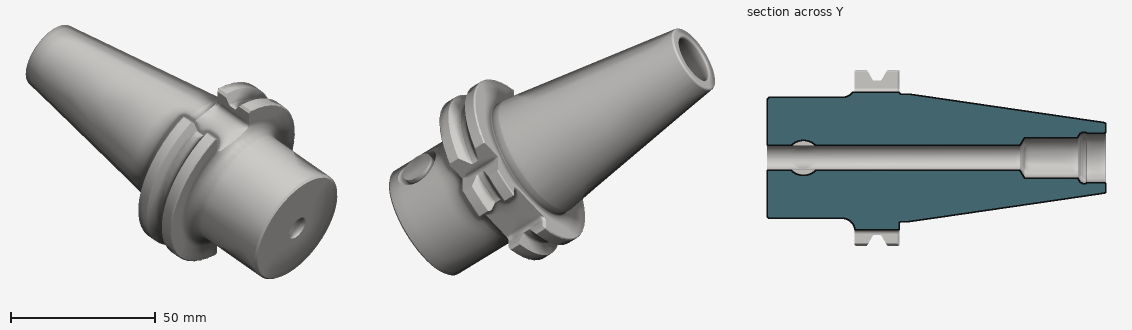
import cadquery as cq
import math

total_length = 117.4

taper_half_slope = 7 / 24 / 2
taper_length = 68.3
tip_radius = 12.2
gauge_radius = tip_radius + taper_length * taper_half_slope
tip_fillet = 0.8

flange_front = 71.5
flange_back = 87.0
flange_radius = 31.74
rim_fillet = 0.5
neck_fillet = 0.5
groove_center = 79.2
groove_floor_radius = 27.9
groove_floor_width = 2.8
groove_wall_angle = 60
groove_fillet = 0.7

nose_radius = 21.0
nose_fillet = 4.2
nose_chamfer = 0.7

thread_radius = 8.5
thread_depth = 8.9
relief_start = 6.7
relief_width = 1.9
relief_height = 0.4
thread_mouth_fillet = 0.8
pilot_radius = 6.9
pilot_depth = 28.2
channel_radius = 4.2
step_angle = 60
drill_point_angle = 59

notch_half_width = 8.1
notch_fillet = 1.4
notch_entry_flare = 0.9
notch_entry_depth = 0.7
notch_top_chamfer = 1.0
notch_end = flange_back + nose_fillet
upper_notch_floor = 22.8
lower_notch_floor = 25.0

orientation_y = 18.3
orientation_z = -18.2

screw_x = 104.7
screw_radius = 6.0
screw_outer_y = nose_radius
screw_inner_y = 6.0
countersink_radius = 7.0


def make_outer_body():
    """Solid of revolution of the whole outside, without the gripper groove."""
    taper_angle = math.atan(taper_half_slope)
    tip_tangent = tip_fillet * math.tan((math.pi / 2 - taper_angle) / 2)
    tip_arc_end_x = tip_tangent * math.cos(taper_angle)
    tip_arc_end_radius = tip_radius + tip_tangent * math.sin(taper_angle)
    return (
        cq.Workplane("XZ")
        .moveTo(0, 0)
        .lineTo(0, tip_radius - tip_tangent)
        .radiusArc((tip_arc_end_x, tip_arc_end_radius), tip_fillet)
        .lineTo(taper_length, gauge_radius)
        .lineTo(flange_front - neck_fillet, gauge_radius)
        .radiusArc((flange_front, gauge_radius + neck_fillet), -neck_fillet)
        .lineTo(flange_front, flange_radius - rim_fillet)
        .radiusArc((flange_front + rim_fillet, flange_radius), rim_fillet)
        .lineTo(flange_back - rim_fillet, flange_radius)
        .radiusArc((flange_back, flange_radius - rim_fillet), rim_fillet)
        .lineTo(flange_back, nose_radius + nose_fillet)
        .radiusArc((flange_back + nose_fillet, nose_radius), -nose_fillet)
        .lineTo(total_length - nose_chamfer, nose_radius)
        .lineTo(total_length, nose_radius - nose_chamfer)
        .lineTo(total_length, 0)
        .close()
        .revolve(360, (0, 0, 0), (1, 0, 0))
    )


def make_gripper_groove():
    """Ring of V section with a flat floor and rounded floor corners."""
    angle = math.radians(groove_wall_angle)
    half_floor = groove_floor_width / 2
    half_mouth = half_floor + (flange_radius - groove_floor_radius) / math.tan(angle)
    tangent = groove_fillet * math.tan(angle / 2)
    wall_dx = half_floor + tangent * math.cos(angle)
    wall_radius = groove_floor_radius + tangent * math.sin(angle)
    floor_dx = half_floor - tangent
    return (
        cq.Workplane("XZ")
        .moveTo(groove_center - half_mouth, flange_radius)
        .lineTo(groove_center - wall_dx, wall_radius)
        .radiusArc((groove_center - floor_dx, groove_floor_radius), -groove_fillet)
        .lineTo(groove_center + floor_dx, groove_floor_radius)
        .radiusArc((groove_center + wall_dx, wall_radius), -groove_fillet)
        .lineTo(groove_center + half_mouth, flange_radius)
        .close()
        .revolve(360, (0, 0, 0), (1, 0, 0))
    )


def make_bore():
    """Thread bore with rounded mouth, pilot bore with a drill point, and a channel out through the nose."""
    relief_radius = thread_radius + relief_height
    relief_end = relief_start + relief_width
    step_length = (thread_radius - pilot_radius) / math.tan(math.radians(step_angle))
    point_length = (pilot_radius - channel_radius) / math.tan(math.radians(drill_point_angle))
    return (
        cq.Workplane("XZ")
        .moveTo(0, 0)
        .lineTo(0, thread_radius + thread_mouth_fillet)
        .radiusArc((thread_mouth_fillet, thread_radius), -thread_mouth_fillet)
        .lineTo(relief_start, thread_radius)
        .lineTo(relief_start + relief_height, relief_radius)
        .lineTo(relief_end - relief_height, relief_radius)
        .lineTo(relief_end, thread_radius)
        .lineTo(thread_depth, thread_radius)
        .lineTo(thread_depth + step_length, pilot_radius)
        .lineTo(pilot_depth, pilot_radius)
        .lineTo(pilot_depth + point_length, channel_radius)
        .lineTo(total_length, channel_radius)
        .lineTo(total_length, 0)
        .close()
        .revolve(360, (0, 0, 0), (1, 0, 0))
    )


def notch_section(workplane, half_width, floor):
    """U section of a drive notch, with rounded floor corners, open past the flange rim."""
    return (
        workplane.moveTo(-half_width, flange_radius)
        .lineTo(-half_width, floor + notch_fillet)
        .radiusArc((-half_width + notch_fillet, floor), -notch_fillet)
        .lineTo(half_width - notch_fillet, floor)
        .radiusArc((half_width, floor + notch_fillet), -notch_fillet)
        .lineTo(half_width, flange_radius)
        .close()
    )


def make_notch(floor):
    """Drive notch at +Z: straight slot, flared entry at the front face and chamfered rim edges."""
    slot_start = flange_front - neck_fillet
    slot_plane = cq.Workplane("YZ", origin=(slot_start, 0, 0))
    slot = notch_section(slot_plane, notch_half_width, floor).extrude(notch_end - slot_start)

    entry_plane = cq.Workplane("YZ", origin=(flange_front, 0, 0))
    entry = notch_section(entry_plane, notch_half_width + notch_entry_flare, floor)
    entry = notch_section(entry.workplane(offset=notch_entry_depth), notch_half_width, floor)
    entry = entry.loft(ruled=True)

    rim_z = math.sqrt(flange_radius**2 - notch_half_width**2)
    rim_slope = math.asin(notch_half_width / flange_radius)
    chamfer_bottom = rim_z - notch_top_chamfer
    chamfer_top = chamfer_bottom + 2 * notch_top_chamfer * (1 - math.sin(rim_slope))
    chamfer_half_width = notch_half_width + 2 * notch_top_chamfer * math.cos(rim_slope)
    rim_chamfer = (
        cq.Workplane("YZ", origin=(flange_front, 0, 0))
        .moveTo(-notch_half_width, chamfer_bottom)
        .lineTo(notch_half_width, chamfer_bottom)
        .lineTo(chamfer_half_width, chamfer_top)
        .lineTo(-chamfer_half_width, chamfer_top)
        .close()
        .extrude(flange_back - flange_front)
    )
    return slot.union(entry).union(rim_chamfer)


def make_orientation_cut():
    """Square corner cut through the flange rim at +Y, -Z."""
    return (
        cq.Workplane("XY")
        .box(flange_back - flange_front, flange_radius, flange_radius, centered=False)
        .translate((flange_front, orientation_y, orientation_z - flange_radius))
    )


def make_screw():
    """Plain cylindrical clamping screw along Y, its outer end level with the nose surface."""
    return (
        cq.Workplane("XZ", origin=(screw_x, screw_outer_y, 0))
        .circle(screw_radius)
        .extrude(screw_outer_y - screw_inner_y)
    )


def make_screw_hole():
    """Radial hole from the nose surface into the channel, with a 45 degree countersink."""
    countersink_drop = nose_radius - math.sqrt(nose_radius**2 - countersink_radius**2)
    countersink_depth = countersink_drop + countersink_radius - screw_radius
    hole = (
        cq.Workplane("XZ", origin=(screw_x, nose_radius, 0))
        .circle(screw_radius)
        .extrude(nose_radius)
    )
    countersink = cq.Solid.makeCone(
        screw_radius + countersink_depth,
        screw_radius,
        countersink_depth,
        pnt=cq.Vector(screw_x, nose_radius, 0),
        dir=cq.Vector(0, -1, 0),
    )
    return hole.union(cq.Workplane(countersink))


upper_notch = make_notch(upper_notch_floor)
lower_notch = make_notch(lower_notch_floor).rotate((0, 0, 0), (1, 0, 0), 180)

holder = (
    make_outer_body()
    .cut(make_gripper_groove())
    .cut(make_bore())
    .cut(upper_notch)
    .cut(lower_notch)
    .cut(make_orientation_cut())
    .cut(make_screw_hole())
)
screw = make_screw()

result = cq.Compound.makeCompound([holder.solids().val(), screw.val()])